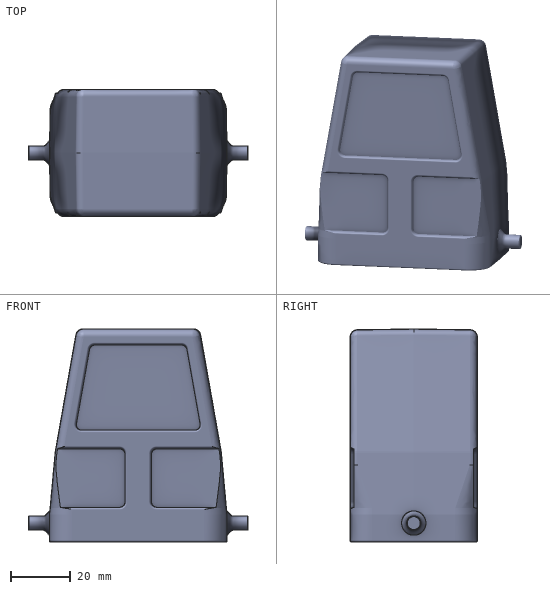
import cadquery as cq
import math

HEIGHT = 72.0
DEPTH = 43.0
BASE_HALF_WIDTH = 30.0
HALF_DEPTH = DEPTH / 2

BASE_TOP = 9.2
WIDE_CORNER_TOP = 11.4
NARROW_CORNER_START = 26.0
HIP_HEIGHT = 30.3

LOWER_LEAN = 5.2
UPPER_LEAN = 10.0
DRAFT = 0.8

WIDE_CORNER_RADIUS = 7.5
NARROW_CORNER_RADIUS = 2.5
HIP_BLEND_RADIUS = 7.5
BOTTOM_EDGE_RADIUS = 0.5

RECESS_CORNER_RADIUS = 2.6
GRIP_DEPTH = 1.25
RECESS_WALL_ANGLE = 22.0
RECESS_RIM_RADIUS = 0.5
GRIP_BOTTOM = 10.9
GRIP_TOP = 32.3
GRIP_HALF_GAP = 3.65
LABEL_BOTTOM = 37.0
LABEL_TOP = 67.3
LABEL_MARGIN = 4.7
LABEL_DEPTH = 1.1

NEAR = 1.0
THIN = 0.01
PLATE_SIZE = 4 * HEIGHT
PLATE_THICKNESS = 5.0

PIN_DIAMETER = 4.8
PIN_HEIGHT = 6.4
PIN_TIP_X = 37.1
PIN_TIP_CHAMFER = 0.2
COLLAR_DIAMETER = 8.2
COLLAR_END_X = 31.6
COLLAR_BLEND_RADIUS = 0.9
PIN_ROOT_X = 27.0

lower_slope = math.tan(math.radians(LOWER_LEAN))
upper_slope = math.tan(math.radians(UPPER_LEAN))
draft_slope = math.tan(math.radians(DRAFT))


def half_width(z):
    """Half width of the hood at Y = 0."""
    if z <= BASE_TOP:
        return BASE_HALF_WIDTH
    if z <= HIP_HEIGHT:
        return BASE_HALF_WIDTH - (z - BASE_TOP) * lower_slope
    return half_width(HIP_HEIGHT) - (z - HIP_HEIGHT) * upper_slope


def section(z, corner_radius):
    """Horizontal outline with rounded corners and ends folded at Y = 0."""
    middle = half_width(z)
    corner = middle - HALF_DEPTH * draft_slope
    outline = cq.Wire.makePolygon(
        [
            cq.Vector(corner, -HALF_DEPTH, z),
            cq.Vector(middle, 0, z),
            cq.Vector(corner, HALF_DEPTH, z),
            cq.Vector(-corner, HALF_DEPTH, z),
            cq.Vector(-middle, 0, z),
            cq.Vector(-corner, -HALF_DEPTH, z),
        ],
        close=True,
    )
    corners = [v for v in outline.Vertices() if abs(v.Y) > HALF_DEPTH / 2]
    return outline.fillet2D(corner_radius, corners)


def lower_body():
    """Base and leaning walls, with corners narrowing from wide to narrow rounding."""
    levels = [
        (0, WIDE_CORNER_RADIUS),
        (BASE_TOP, WIDE_CORNER_RADIUS),
        (WIDE_CORNER_TOP, WIDE_CORNER_RADIUS),
        (NARROW_CORNER_START, NARROW_CORNER_RADIUS),
    ]
    body = cq.Workplane(cq.Solid.makeLoft([section(z, r) for z, r in levels], True))
    return body.faces("<Z").edges().fillet(BOTTOM_EDGE_RADIUS)


def end_profile(y):
    """Upright outline of the leaning walls and roof at a given Y."""
    drop = abs(y) * draft_slope
    right = [
        (half_width(BASE_TOP) - drop, BASE_TOP),
        (half_width(HIP_HEIGHT) - drop, HIP_HEIGHT),
        (half_width(HEIGHT) - drop, HEIGHT - drop),
    ]
    left = [(-x, z) for x, z in reversed(right)]
    outline = cq.Wire.makePolygon([cq.Vector(x, y, z) for x, z in right + left], close=True)
    hips = [v for v in outline.Vertices() if abs(v.Z - HIP_HEIGHT) < NEAR]
    return outline.fillet2D(HIP_BLEND_RADIUS, hips)


def upper_body():
    """Tapered top above the corner transition, with every outer edge rounded."""
    half = cq.Workplane(cq.Solid.makeLoft([end_profile(0), end_profile(-HALF_DEPTH)], True))
    face_edges = [e for e in half.faces("<Y").edges().vals() if e.Center().z > BASE_TOP + NEAR]
    roof_ends = [
        e for e in half.edges().vals()
        if e.Center().z > HEIGHT - NEAR and abs(e.Center().x) > NEAR
    ]
    half = half.newObject(face_edges + roof_ends).fillet(NARROW_CORNER_RADIUS)
    body = half.union(half.mirror("XZ"))
    below = cq.Workplane().box(
        2 * BASE_HALF_WIDTH, 2 * DEPTH, NARROW_CORNER_START, centered=(True, True, False)
    )
    return body.cut(below)


def face_recess(points, depth):
    """Cutter for the front face, narrowing inward from a rounded rim.

    The rim meets the face along the outline through the (x, z) points.
    """
    wall_angle = math.radians(RECESS_WALL_ANGLE)
    rim_flare = RECESS_RIM_RADIUS * (
        math.cos(wall_angle) - (1 - math.sin(wall_angle)) * math.tan(wall_angle)
    )
    face = cq.Plane(origin=(0, -HALF_DEPTH, 0), xDir=(-1, 0, 0), normal=(0, 1, 0))
    corners = [cq.Vector(x, -HALF_DEPTH, z) for x, z in points]
    outline = cq.Wire.makePolygon(corners, close=True)
    outline = outline.fillet2D(RECESS_CORNER_RADIUS, outline.Vertices())
    mouth = outline.offset2D(-rim_flare)[0]
    block = cq.Workplane(face).add(mouth).toPending().extrude(depth, taper=RECESS_WALL_ANGLE)
    plate = cq.Workplane(face).rect(PLATE_SIZE, PLATE_SIZE).extrude(-PLATE_THICKNESS)
    rim = cq.selectors.BoxSelector(
        (-HEIGHT, -HALF_DEPTH - THIN, -HEIGHT), (HEIGHT, -HALF_DEPTH + THIN, HEIGHT)
    )
    return plate.union(block).edges(rim).fillet(RECESS_RIM_RADIUS)


def label_recess():
    """Trapezoid recess whose sides follow the leaning walls."""
    bottom = half_width(LABEL_BOTTOM) - LABEL_MARGIN
    top = half_width(LABEL_TOP) - LABEL_MARGIN
    return face_recess(
        [(-bottom, LABEL_BOTTOM), (bottom, LABEL_BOTTOM), (top, LABEL_TOP), (-top, LABEL_TOP)],
        LABEL_DEPTH,
    )


def grip_recess():
    """Grip recess that runs out through the side of the hood."""
    outside = BASE_HALF_WIDTH + 2 * RECESS_CORNER_RADIUS
    return face_recess(
        [
            (GRIP_HALF_GAP, GRIP_BOTTOM),
            (outside, GRIP_BOTTOM),
            (outside, GRIP_TOP),
            (GRIP_HALF_GAP, GRIP_TOP),
        ],
        GRIP_DEPTH,
    )


def locking_pin():
    """Pin toward +X with a cone collar against the side wall."""
    pin_radius = PIN_DIAMETER / 2
    collar_radius = COLLAR_DIAMETER / 2
    profile = [
        (PIN_ROOT_X, 0),
        (PIN_ROOT_X, collar_radius),
        (BASE_HALF_WIDTH, collar_radius),
        (COLLAR_END_X, pin_radius),
        (PIN_TIP_X - PIN_TIP_CHAMFER, pin_radius),
        (PIN_TIP_X, pin_radius - PIN_TIP_CHAMFER),
        (PIN_TIP_X, 0),
    ]
    pin = cq.Workplane("XY").polyline(profile).close().revolve(360, (0, 0, 0), (1, 0, 0))
    collar_end = cq.selectors.NearestToPointSelector((COLLAR_END_X, 0, 0))
    pin = pin.edges("%CIRCLE").edges(collar_end).fillet(COLLAR_BLEND_RADIUS)
    return pin.translate((0, 0, PIN_HEIGHT))


right_pin = locking_pin()
left_pin = right_pin.rotate((0, 0, 0), (0, 0, 1), 180)
result = lower_body().union(upper_body()).union(left_pin).union(right_pin)

grip = grip_recess()
for cutter in (label_recess(), grip, grip.mirror("YZ")):
    result = result.cut(cutter).cut(cutter.mirror("XZ"))